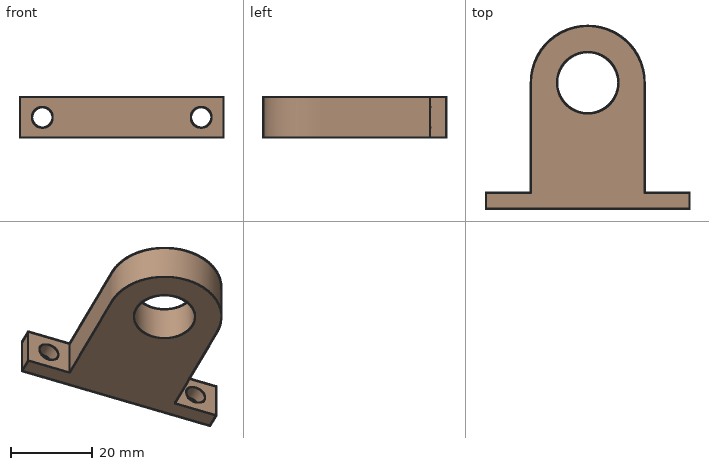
import cadquery as cq

flange_length = 50
flange_thickness = 4
height = 10
screw_hole_diameter = 5
screw_hole_spacing = 39

total_depth = 45
lug_width = 28
bore_diameter = 15
lug_radius = lug_width / 2
bore_y = total_depth - lug_radius


def make_flange():
    """Flat bar along X with its mounting face at Y = 0."""
    return cq.Workplane("XY").box(
        flange_length, flange_thickness, height, centered=(True, False, False)
    )


def make_lug():
    """Plate with straight sides from the mounting face to a semicircular end."""
    return (
        cq.Workplane("XY")
        .moveTo(-lug_radius, 0)
        .lineTo(lug_radius, 0)
        .lineTo(lug_radius, bore_y)
        .threePointArc((0, total_depth), (-lug_radius, bore_y))
        .close()
        .extrude(height)
    )


def make_bore():
    """Vertical cylinder through the lug."""
    return cq.Workplane("XY").center(0, bore_y).circle(bore_diameter / 2).extrude(height)


def make_screw_holes():
    """Pair of cylinders along Y through the flange, at mid-height."""
    half_spacing = screw_hole_spacing / 2
    return (
        cq.Workplane("XZ")
        .pushPoints([(side * half_spacing, height / 2) for side in (-1, 1)])
        .circle(screw_hole_diameter / 2)
        .extrude(-flange_thickness)
    )


result = make_flange().union(make_lug()).cut(make_bore()).cut(make_screw_holes())